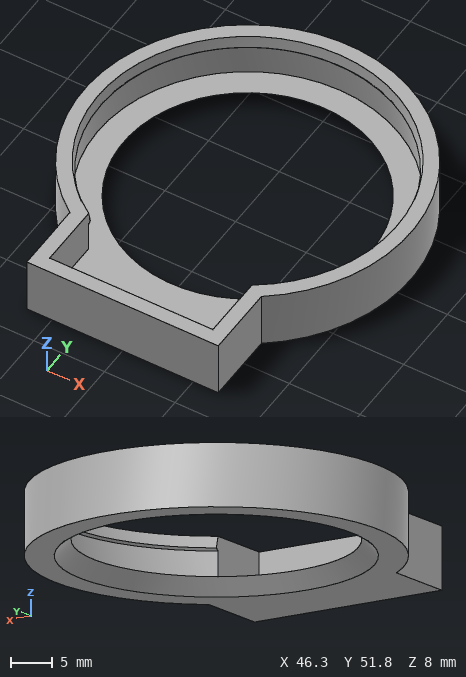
import cadquery as cq

height = 8.0
total_length = 51.75
outer_radius = 23.15
wall = 2.0
floor_thickness = wall
hole_radius = 17.5
box_width = 27.1

ridge_projection = 0.3
ridge_crest_depth = 1.55
ridge_underside = 0.3

inner_radius = outer_radius - wall
box_end_y = outer_radius - total_length


def ring_and_box(radius, width, end_y, bottom, depth):
    """Disc on the origin joined to a box that reaches down to end_y."""
    disc = cq.Workplane("XY", origin=(0, 0, bottom)).circle(radius).extrude(depth)
    box = (
        cq.Workplane("XY", origin=(0, end_y / 2, bottom))
        .rect(width, -end_y)
        .extrude(depth)
    )
    return disc.union(box)


def cavity():
    """Open-topped interior, narrowed by the ridge in its round section."""
    depth = height - floor_thickness
    crest_z = height - ridge_crest_depth
    box_inner_width = box_width - 2 * wall
    box_inner_end = box_end_y + wall
    ridge = (
        cq.Workplane("XZ")
        .moveTo(inner_radius, height)
        .lineTo(inner_radius - ridge_projection, crest_z)
        .lineTo(inner_radius, crest_z - ridge_underside)
        .close()
        .revolve(360, (0, 0, 0), (0, 1, 0))
    )
    box_opening = (
        cq.Workplane("XY", origin=(0, box_inner_end / 2, floor_thickness))
        .rect(box_inner_width, -box_inner_end)
        .extrude(depth)
    )
    room = ring_and_box(inner_radius, box_inner_width, box_inner_end, floor_thickness, depth)
    return room.cut(ridge).union(box_opening)


def floor_hole():
    """Hole through the floor, widening downwards at 45 degrees."""
    return (
        cq.Workplane("XZ")
        .moveTo(0, 0)
        .lineTo(hole_radius + floor_thickness, 0)
        .lineTo(hole_radius, floor_thickness)
        .lineTo(0, floor_thickness)
        .close()
        .revolve(360, (0, 0, 0), (0, 1, 0))
    )


body = ring_and_box(outer_radius, box_width, box_end_y, 0, height)
result = body.cut(cavity()).cut(floor_hole())